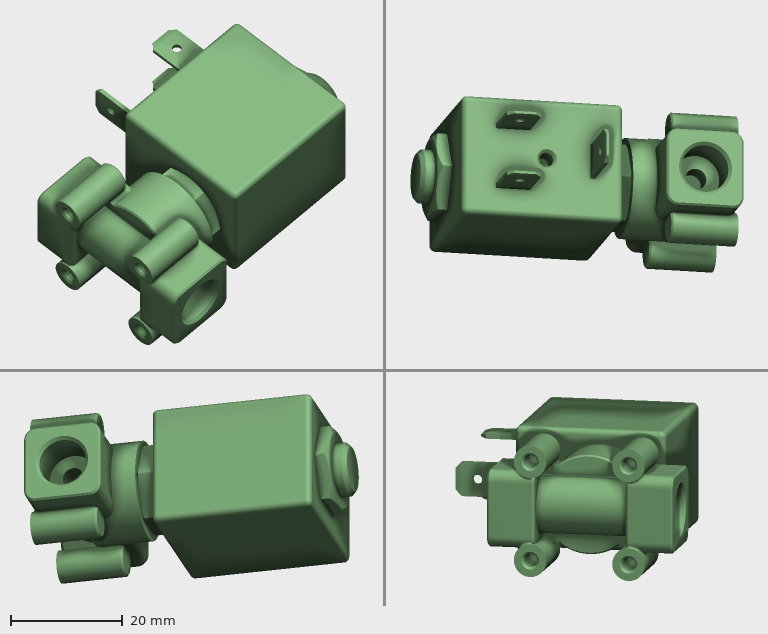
import cadquery as cq
import math


coil_left = -16.55
coil_right = 11.0
coil_height = 22.0
coil_bottom = 22.25
coil_top = 51.8
coil_round = 1.0

screw_hole_y = 36.25
screw_hole_diameter = 2.6
screw_hole_mouth = 3.6
screw_hole_depth = 4.55

blade_width = 6.3
blade_thickness = 0.8
blade_tip_length = 1.15
blade_tip_bevel = 0.15
blade_hole_diameter = 1.7
blade_hole_from_tip = 4.0
contact_tip_x = -26.55
contact_y = 42.5
contact_z = 5.55
ground_tip_x = -28.5
ground_y = 27.8

stem_diameter = 9.75
stem_top = 56.65
stem_chamfer = 0.8
nut_top = 54.15
hex_flats = 14.1
hex_chamfer_angle = 30.0
hex_top_diameter = 13.95
lower_hex_base_diameter = 15.2
collar_diameter = 18.1
collar_bottom = 8.3
collar_top = 18.7
collar_edge_chamfer = 0.3

block_length = 34.0
block_height = 14.1
block_bottom = 0.15
block_top = block_bottom + block_height
passage_y = (block_bottom + block_top) / 2
block_corner_round = 2.05
block_end_chamfer = 0.35
waist_length = 16.65
waist_edge_chamfer = 0.45
duct_diameter = 10.3
duct_fillet = 0.3
collar_fillet = 0.2

port_diameter = 8.6
port_mouth = 9.75
port_depth = 7.95
orifice_diameter = 3.85
orifice_depth = 4.55

boss_diameter = 5.95
boss_offset = 9.0
boss_height = 12.3
boss_chamfer = 0.35
boss_root_fillet = 0.35
boss_hole_diameter = 2.5
boss_hole_mouth = 3.25
boss_hole_depth = 5.65

drill_tip_angle = 118.0

AXIAL = cq.Vector(0, 1, 0)
TOLERANCE = 0.005
BOSS_PLACES = [(x, z) for x in (-boss_offset, boss_offset) for z in (-boss_offset, boss_offset)]


def axial_cylinder(diameter, y_start, y_end, x=0, z=0):
    """Cylinder along +Y between two heights."""
    return cq.Workplane(cq.Solid.makeCylinder(diameter / 2, y_end - y_start, cq.Vector(x, y_start, z), AXIAL))


def drilled_hole(diameter, mouth_diameter, depth, mouth_point, direction):
    """Cutter for a blind hole with a 45-degree countersink and a conical drill tip."""
    radius = diameter / 2
    mouth_radius = mouth_diameter / 2
    tip_length = radius / math.tan(math.radians(drill_tip_angle / 2))
    profile = (
        cq.Workplane("XY")
        .polyline([
            (0, 0),
            (mouth_radius, 0),
            (radius, mouth_radius - radius),
            (radius, depth),
            (0, depth + tip_length),
        ])
        .close()
    )
    cutter = profile.revolve(360, (0, 0), (0, 1)).val()
    if direction == "+X":
        cutter = cutter.rotate(cq.Vector(0, 0, 0), cq.Vector(0, 0, 1), -90)
    return cutter.translate(cq.Vector(*mouth_point))


def hexagon(y_start, y_end, base_diameter=None):
    """Hexagonal prism with corners on X, its corners turned off at the +Y end and optionally at its base."""
    corner_diameter = hex_flats / math.cos(math.pi / 6)
    chamfer_slope = math.tan(math.radians(hex_chamfer_angle))
    prism = (
        cq.Workplane("XZ", origin=(0, y_start, 0))
        .polygon(6, corner_diameter)
        .extrude(y_start - y_end)
    )
    turned_blank = axial_cylinder(corner_diameter, y_start, y_end)
    top_step = (corner_diameter - hex_top_diameter) / 2
    turned_blank = turned_blank.faces(">Y").chamfer(top_step * chamfer_slope, top_step)
    if base_diameter:
        base_step = (corner_diameter - base_diameter) / 2
        turned_blank = turned_blank.faces("<Y").chamfer(base_step * chamfer_slope, base_step)
    return prism.intersect(turned_blank)


def blade(tip_x):
    """Flat terminal in the XY plane, centred on the X axis, with a bevelled tip and a cross hole."""
    length = coil_left - tip_x
    plate = (
        cq.Workplane("XY")
        .box(length, blade_width, blade_thickness, centered=(False, True, True))
        .edges("<X and |Z").chamfer(blade_tip_length)
        .faces("<X").edges("|Y").chamfer(blade_tip_bevel, blade_tip_length)
        .translate((tip_x, 0, 0))
    )
    cross_hole = (
        cq.Workplane("XY")
        .center(tip_x + blade_hole_from_tip, 0)
        .circle(blade_hole_diameter / 2)
        .extrude(blade_thickness, both=True)
    )
    return plate.cut(cross_hole)


def make_coil():
    """Coil block with its three terminals, bored through for the stem."""
    coil = (
        cq.Workplane("XY")
        .box(coil_right - coil_left, coil_top - coil_bottom, coil_height, centered=(False, False, True))
        .edges().fillet(coil_round)
        .translate((coil_left, coil_bottom, 0))
    )
    coil = coil.cut(axial_cylinder(stem_diameter, coil_bottom, coil_top))
    coil = coil.cut(cq.Workplane(drilled_hole(
        screw_hole_diameter, screw_hole_mouth, screw_hole_depth, (coil_left, screw_hole_y, 0), "+X"
    )))
    for z in (-contact_z, contact_z):
        coil = coil.union(blade(contact_tip_x).translate((0, contact_y, z)))
    ground = blade(ground_tip_x).rotate((0, 0, 0), (1, 0, 0), 90).translate((0, ground_y, 0))
    return coil.union(ground)


def rounded_block():
    """Full-length block along X with rounded long edges and broken ends."""
    return (
        cq.Workplane("XY", origin=(0, passage_y, 0))
        .box(block_length, block_height, block_height)
        .edges("|X").fillet(block_corner_round)
        .faces("<X or >X").chamfer(block_end_chamfer)
    )


def waist_cutter(length):
    """Cutter that clears the middle of the block below the collar."""
    return (
        cq.Workplane("XY", origin=(0, collar_bottom - block_height / 2, 0))
        .box(length, block_height, 2 * block_height)
    )


def make_block():
    """Rounded block cleared at mid-length, with the rims of the clearance broken."""
    rim_reach = waist_length / 2 + TOLERANCE
    rim = cq.selectors.BoxSelector(
        (-rim_reach, -block_height, -block_height),
        (rim_reach, collar_bottom - TOLERANCE, block_height),
    )
    return rounded_block().cut(waist_cutter(waist_length)).edges(rim).chamfer(waist_edge_chamfer)


def make_collar():
    """Round collar above the waist with its lower edge broken."""
    collar = axial_cylinder(collar_diameter, collar_bottom, collar_top)
    return collar.faces("<Y").chamfer(collar_edge_chamfer)


def make_duct():
    """Round duct that joins the two ends of the block."""
    return (
        cq.Workplane("YZ", origin=(0, passage_y, 0))
        .circle(duct_diameter / 2)
        .extrude(waist_length / 2, both=True)
    )


def is_collar_seam(edge):
    """True for an edge where the top or the rounds of the block run into the collar wall."""
    box = edge.BoundingBox()
    round_start = block_top - block_corner_round
    beside_collar = max(abs(box.xmin), abs(box.xmax)) < collar_diameter / 2 + TOLERANCE
    above_round = box.ymin > round_start - TOLERANCE and box.ymax < block_top + TOLERANCE
    return above_round and beside_collar


def is_duct_seam(edge):
    """True for an edge where the duct leaves the collar base or a face of the waist."""
    box = edge.BoundingBox()
    radius = duct_diameter / 2
    half_chord = math.sqrt(radius**2 - (collar_bottom - passage_y) ** 2)
    on_base = box.ymin > collar_bottom - TOLERANCE and box.ymax < collar_bottom + TOLERANCE
    along_duct = box.zmax - box.zmin < TOLERANCE and abs(abs(box.zmax) - half_chord) < TOLERANCE
    round_duct = abs(box.zmax - radius) < TOLERANCE and abs(box.zmin + radius) < TOLERANCE
    return (on_base and along_duct) or (edge.geomType() == "CIRCLE" and round_duct)


def fillet_where(body, is_wanted, radius):
    """Round every edge of a body that passes the given test."""
    return body.newObject([edge for edge in body.edges().vals() if is_wanted(edge)]).fillet(radius)


def make_boss(x, z):
    """Mounting boss with its far edge broken."""
    return axial_cylinder(boss_diameter, 0, boss_height, x, z).faces(">Y").chamfer(boss_chamfer)


def is_boss_seam(edge):
    """True for an edge where a long boss cylinder runs into the faces or rounds of the block."""
    box = edge.BoundingBox()
    within_block = box.ymin > block_bottom - TOLERANCE and box.ymax < block_top + TOLERANCE
    boss_reach = boss_diameter / 2 + TOLERANCE
    left_gap = abs(abs(box.xmin) - boss_offset)
    right_gap = abs(abs(box.xmax) - boss_offset)
    same_boss = box.xmin * box.xmax > 0
    return within_block and same_boss and max(left_gap, right_gap) < boss_reach


def make_boss_roots():
    """Block ends with fillets around the bosses.

    The fillets run along bosses longer than the block and are then trimmed to the boss height.
    """
    overrun = block_height
    body = rounded_block()
    for x, z in BOSS_PLACES:
        body = body.union(axial_cylinder(boss_diameter, -overrun, 2 * overrun, x, z))

    body = fillet_where(body, is_boss_seam, boss_root_fillet)
    slab = (
        cq.Workplane("XY")
        .box(block_length, boss_height - boss_chamfer, 2 * block_height, centered=(True, False, True))
    )
    return body.intersect(slab).cut(waist_cutter(waist_length + 2 * waist_edge_chamfer))


def port():
    """Cutter for the port and orifice in the -X end of the block."""
    radius = port_diameter / 2
    mouth_radius = port_mouth / 2
    orifice_end = port_depth + orifice_depth
    profile = (
        cq.Workplane("XY")
        .polyline([
            (0, 0),
            (0, mouth_radius),
            (mouth_radius - radius, radius),
            (port_depth, radius),
            (port_depth, orifice_diameter / 2),
            (orifice_end, orifice_diameter / 2),
            (orifice_end, 0),
        ])
        .close()
    )
    return profile.revolve(360, (0, 0), (1, 0)).translate((-block_length / 2, passage_y, 0))


def make_valve():
    """Valve block, collar, hexagons and stem in one solid."""
    valve = make_block().union(make_collar()).union(make_duct())
    valve = fillet_where(valve, is_duct_seam, duct_fillet)
    valve = fillet_where(valve, is_collar_seam, collar_fillet)

    stem = axial_cylinder(stem_diameter, collar_top, stem_top).faces(">Y").chamfer(stem_chamfer)
    lower_hexagon = hexagon(collar_top, coil_bottom, lower_hex_base_diameter)
    valve = valve.union(lower_hexagon).union(stem).union(hexagon(coil_top, nut_top))

    valve = valve.union(make_boss_roots())
    for x, z in BOSS_PLACES:
        valve = valve.union(make_boss(x, z))
    for x, z in BOSS_PLACES:
        valve = valve.cut(cq.Workplane(drilled_hole(
            boss_hole_diameter, boss_hole_mouth, boss_hole_depth, (x, 0, z), "+Y"
        )))
    return valve.cut(port()).cut(port().mirror("YZ"))


coil = make_coil()
valve = make_valve()
result = cq.Compound.makeCompound([coil.solids().val(), valve.solids().val()])